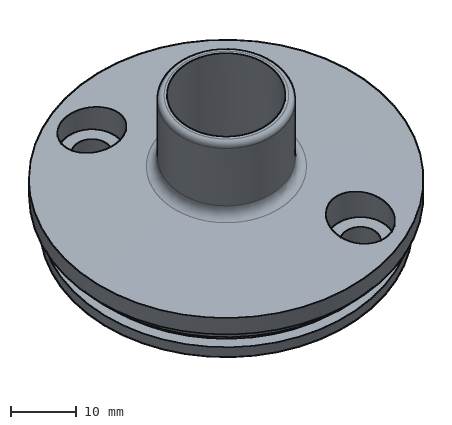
import cadquery as cq

rim_radius = 30.0
spigot_radius = 56.8 / 2
groove_radius = 53.2 / 2
land_height = 2.15
rim_bottom = 3 * land_height
rim_top = 10.0
total_height = 28.0

tube_radius = 10.5
bore_radius = 9.0
cone_top = 13.0
root_fillet = 2.0
lip_fillet = 1.0

screw_offset = 22.5
screw_diameter = 6.3
counterbore_diameter = 10.5
counterbore_floor = 6.0


def turned_body():
    """Grooved spigot, rim, conical shoulder and tube, revolved about Z."""
    profile = (
        cq.Workplane("XZ")
        .moveTo(0, 0)
        .lineTo(spigot_radius, 0)
        .lineTo(spigot_radius, land_height)
        .lineTo(groove_radius, land_height)
        .lineTo(groove_radius, 2 * land_height)
        .lineTo(spigot_radius, 2 * land_height)
        .lineTo(spigot_radius, rim_bottom)
        .lineTo(rim_radius, rim_bottom)
        .lineTo(rim_radius, rim_top)
        .lineTo(tube_radius, cone_top)
        .lineTo(tube_radius, total_height)
        .lineTo(0, total_height)
        .close()
    )
    body = profile.revolve(360, (0, 0, 0), (0, 1, 0))
    tube_root = cq.selectors.RadiusNthSelector(0)
    body = body.edges(tube_root).edges("<Z").fillet(root_fillet)
    return body.edges(">Z").fillet(lip_fillet)


def bore():
    """Through passage along the tube axis."""
    return cq.Workplane("XY").circle(bore_radius).extrude(total_height)


def screw_hole(x):
    """Through hole with a flat counterbore opening onto the cone."""
    hole = cq.Workplane("XY").center(x, 0).circle(screw_diameter / 2).extrude(total_height)
    counterbore = (
        cq.Workplane("XY", origin=(x, 0, counterbore_floor))
        .circle(counterbore_diameter / 2)
        .extrude(total_height - counterbore_floor)
    )
    return hole.union(counterbore)


result = turned_body().cut(bore())
for x in (-screw_offset, screw_offset):
    result = result.cut(screw_hole(x))